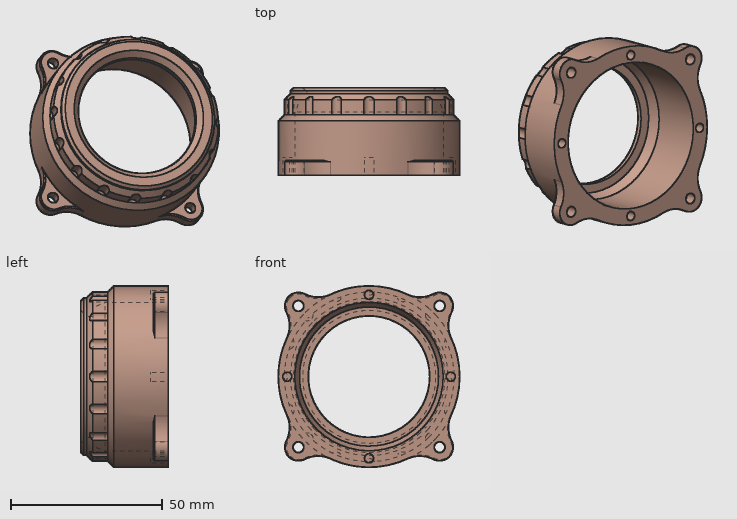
import cadquery as cq
import math

body_radius = 30.0
total_depth = 29.0
step_size = 2.0

shoulder_start = 18.0
band_start = shoulder_start + step_size
band_end = 25.0
neck_start = band_end + step_size
neck_chamfer = 1.0
neck_end = total_depth - neck_chamfer

band_radius = body_radius - step_size
neck_radius = band_radius - step_size

bore_radius = 49.0 / 2
seat_radius = 23.0
opening_radius = 40.0 / 2
bore_depth = 21.0
seat_depth = band_end
countersink_size = 2.0

lug_count = 4
lug_start_angle = 45
lug_thickness = 5.0
lug_radius = 4.5
lug_circle_radius = 33.0
lug_hole_diameter = 3.5
lug_blend_radius = 10.0
lug_chamfer = 0.5
lug_root_overlap = 0.005

pin_hole_count = 4
pin_hole_diameter = 3.0
pin_hole_circle_radius = 27.0
pin_hole_depth = 6.0

groove_count = 16
groove_radius = 2.0
groove_floor_radius = 27.0


def polar(radius, degrees):
    """Flat coordinates of a point given by its radius and angle."""
    angle = math.radians(degrees)
    return (radius * math.cos(angle), radius * math.sin(angle))


def toward(start, end, distance):
    """Point at a distance from start on the line to end."""
    ratio = distance / math.dist(start, end)
    return tuple(a + ratio * (b - a) for a, b in zip(start, end))


def from_face(offset):
    """Workplane parallel to the flange face; positive extrusion runs forward (-Y)."""
    return cq.Workplane("XZ", origin=(0, offset, 0))


def revolve_about_y(points):
    """Solid of revolution from (radius, distance behind the flange face) points."""
    return cq.Workplane("XY").polyline(points).close().revolve(360, (0, 0, 0), (0, 1, 0))


def outer_body():
    """Solid outside shape: main body, groove band and rear neck."""
    return revolve_about_y([
        (0, 0),
        (body_radius, 0),
        (body_radius, shoulder_start),
        (band_radius, band_start),
        (band_radius, band_end),
        (neck_radius, neck_start),
        (neck_radius, neck_end),
        (neck_radius - neck_chamfer, total_depth),
        (0, total_depth),
    ])


def bore():
    """Main bore, tapered seat and rear opening with its countersink."""
    return revolve_about_y([
        (0, 0),
        (bore_radius, 0),
        (bore_radius, bore_depth),
        (seat_radius, seat_depth),
        (opening_radius, seat_depth),
        (opening_radius, total_depth - countersink_size),
        (opening_radius + countersink_size, total_depth),
        (0, total_depth),
    ])


def lug_outline(angle):
    """Lug at an angle, blended by concave arcs tangent to the lug tip and the body."""
    root_radius = body_radius - lug_root_overlap
    blend_circle_radius = root_radius + lug_blend_radius
    blend_offset = math.degrees(math.acos(
        (blend_circle_radius**2 + lug_circle_radius**2 - (lug_radius + lug_blend_radius)**2)
        / (2 * blend_circle_radius * lug_circle_radius)
    ))
    lug_centre = polar(lug_circle_radius, angle)

    def blend_points(direction):
        centre = polar(blend_circle_radius, direction)
        root = polar(root_radius, direction)
        tip = toward(centre, lug_centre, lug_blend_radius)
        chord_middle = ((root[0] + tip[0]) / 2, (root[1] + tip[1]) / 2)
        return root, toward(centre, chord_middle, lug_blend_radius), tip

    root_a, middle_a, tip_a = blend_points(angle - blend_offset)
    root_b, middle_b, tip_b = blend_points(angle + blend_offset)
    return (
        from_face(0)
        .moveTo(0, 0)
        .lineTo(*root_a)
        .threePointArc(middle_a, tip_a)
        .threePointArc(polar(lug_circle_radius + lug_radius, angle), tip_b)
        .threePointArc(middle_b, root_b)
        .close()
    )


def lug(angle):
    """Lug plate with its rear outer edge chamfered; its inner end lies inside the body."""
    plate = lug_outline(angle).extrude(-lug_thickness)
    return plate.faces(">Y").edges("%CIRCLE").chamfer(lug_chamfer)


def face_holes(circle_radius, count, start_angle, diameter, depth):
    """Ring of cylinders to cut into the flange face."""
    return (
        from_face(0)
        .polarArray(circle_radius, start_angle, 360, count)
        .circle(diameter / 2)
        .extrude(-depth)
    )


def grip_grooves():
    """Round-bottomed axial cuts in the band, starting at its front end."""
    return (
        from_face(band_start)
        .polarArray(groove_floor_radius + groove_radius, 0, 360, groove_count)
        .circle(groove_radius)
        .extrude(band_start - total_depth)
    )


body = outer_body().cut(grip_grooves())
for index in range(lug_count):
    body = body.union(lug(lug_start_angle + index * 360 / lug_count))
result = (
    body.cut(bore())
    .cut(face_holes(lug_circle_radius, lug_count, lug_start_angle, lug_hole_diameter, lug_thickness))
    .cut(face_holes(pin_hole_circle_radius, pin_hole_count, 0, pin_hole_diameter, pin_hole_depth))
)